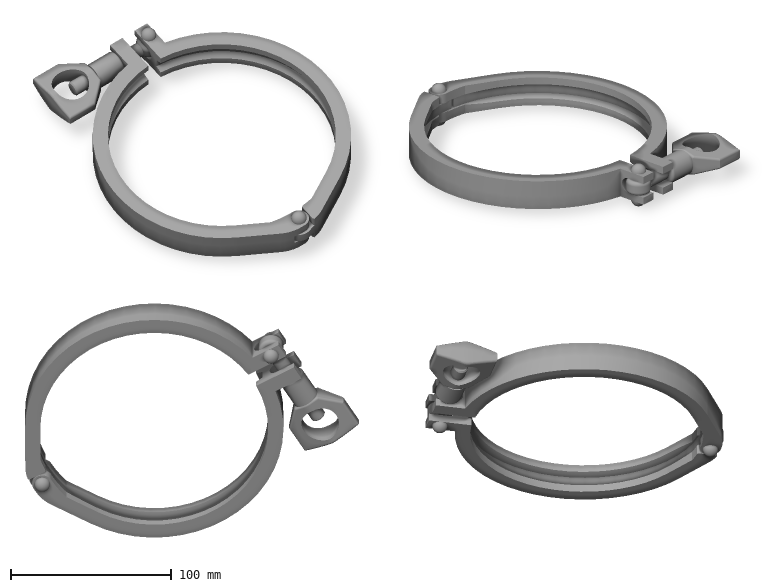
import cadquery as cq
import math


INNER_RADIUS = 70.75
OUTER_RADIUS = 80.27
CLAMP_HEIGHT = 19.05
PICK_MARGIN = 0.1
GROOVE_RADIUS = 75.2
GROOVE_FLOOR_WIDTH = 6.35
GROOVE_FLANK_ANGLE = 20.0
FLARE_ANGLE = 30.0

HINGE_X = 80.6
KNUCKLE_RADIUS = 6.35
TONGUE_RADIUS = 8.05
TONGUE_THICKNESS = GROOVE_FLOOR_WIDTH
TONGUE_ROOT_X = 6.15
TONGUE_CLEARANCE = 1.6
HINGE_BLEND_RADIUS = 25.4
TONGUE_SHOULDER_Y = 6.9
SHOULDER_CHAMFER = 0.75
LIP_RADIUS = HINGE_X - KNUCKLE_RADIUS

LEG_GAP = 9.525
LEG_THICKNESS = 9.525
BOLT_X = -89.7
BOLT_TO_LEG_END = 8.0
LEG_END_X = BOLT_X - BOLT_TO_LEG_END
BOLT_DIAMETER = 9.4
LEG_SLOT_WIDTH = BOLT_DIAMETER
LEG_SLOT_END_X = -80.3

RIVET_DIAMETER = 6.35
RIVET_HEAD_RADIUS = 4.76

BOLT_EYE_Y = (LEG_GAP + LEG_THICKNESS) / 2
BOLT_END_Y = -49.3
BOLT_END_CHAMFER = 0.8
EYE_RADIUS = 7.7
EYE_THICKNESS = 9.14
SHANK_START_Y = 2.3
EYE_FILLET = 2.4

NUT_TOP_Y = -LEG_GAP / 2 - LEG_THICKNESS
NUT_RADIUS = 16.51 / 2
NUT_TOP_FILLET = 1.5
WING_TOP_Y = -33.2
WING_SHOULDER_Y = -46.0
WING_CORNER_Y = -65.3
WING_BOTTOM_Y = -66.5
WING_HALF_WIDTH = 19.46
WING_SLOPE = 15.0
WING_EDGE_FILLET = 1.5
FINGER_HOLE_RADIUS = 23.24 / 2
FINGER_HOLE_Y = -50.8


def polar(radius, degrees):
    angle = math.radians(degrees)
    return radius * math.cos(angle), radius * math.sin(angle)


def z_cylinder(x, y, radius, height):
    """Cylinder along Z, centred on the mid-plane of the clamp."""
    return cq.Workplane("XY").center(x, y).circle(radius).extrude(height / 2, both=True)


def block(x_start, x_end, y_start, y_end, height):
    """Rectangular block centred on the mid-plane of the clamp."""
    outline = cq.Workplane("XY").center((x_start + x_end) / 2, (y_start + y_end) / 2)
    return outline.rect(abs(x_end - x_start), abs(y_end - y_start)).extrude(height / 2, both=True)


def flared_disc(radius):
    """Disc with two tangents at the flare angle that meet in a point on +X."""
    tip_x = radius / math.cos(math.radians(FLARE_ANGLE))
    x, y = polar(radius, FLARE_ANGLE)
    outline = cq.Workplane("XY").moveTo(tip_x, 0).lineTo(x, y)
    outline = outline.threePointArc((-radius, 0), (x, -y)).close()
    return outline.extrude(CLAMP_HEIGHT / 2, both=True)


def ring_outside():
    """Outer form, its hinge tip flattened at the knuckle and blended into the flares."""
    flat_x = HINGE_X + KNUCKLE_RADIUS
    disc = flared_disc(OUTER_RADIUS)
    disc = disc.intersect(block(-flat_x, flat_x, -flat_x, flat_x, CLAMP_HEIGHT))
    flare = math.radians(FLARE_ANGLE)
    corner_y = (OUTER_RADIUS - flat_x * math.cos(flare)) / math.sin(flare)
    for side in (1, -1):
        edge = cq.selectors.NearestToPointSelector((flat_x, side * corner_y, 0))
        disc = disc.edges("|Z").edges(edge).fillet(HINGE_BLEND_RADIUS)
    return disc


def ring_inside():
    """Bore and V groove; the flare of the bore stops at the lip radius."""
    bore = flared_disc(INNER_RADIUS).intersect(z_cylinder(0, 0, LIP_RADIUS, CLAMP_HEIGHT))
    floor = GROOVE_FLOOR_WIDTH / 2
    mouth = floor + GROOVE_RADIUS * math.tan(math.radians(GROOVE_FLANK_ANGLE))
    groove = (
        cq.Workplane("XZ")
        .polyline([(0, -mouth), (GROOVE_RADIUS, -floor), (GROOVE_RADIUS, floor), (0, mouth)])
        .close()
        .revolve(360, (0, 0, 0), (0, 1, 0))
    )
    groove = groove.intersect(z_cylinder(0, 0, GROOVE_RADIUS, CLAMP_HEIGHT))
    return bore.union(groove)


def leg_slot():
    """Slot open on -X with a half-round end, running through both legs along Y."""
    radius = LEG_SLOT_WIDTH / 2
    centre_x = LEG_SLOT_END_X - radius
    reach = LEG_GAP / 2 + LEG_THICKNESS
    slot = block(LEG_END_X, centre_x, -reach, reach, LEG_SLOT_WIDTH)
    end = cq.Workplane("XZ").center(centre_x, 0).circle(radius).extrude(reach, both=True)
    return slot.union(end)


def plain_half(side):
    """Half ring with its closing leg, on the +Y (side 1) or -Y (side -1) side."""
    leg_inner = side * LEG_GAP / 2
    leg_outer = side * (LEG_GAP / 2 + LEG_THICKNESS)
    ring_edge = side * OUTER_RADIUS
    closure_zone = block(-OUTER_RADIUS, 0, leg_inner, ring_edge, CLAMP_HEIGHT)
    hinge_zone = block(0, 2 * OUTER_RADIUS, 0, ring_edge, CLAMP_HEIGHT)
    leg = block(LEG_END_X, -INNER_RADIUS, leg_inner, leg_outer, CLAMP_HEIGHT)
    half = ring_outside().intersect(closure_zone.union(hinge_zone)).union(leg)
    return half.cut(ring_inside()).cut(leg_slot())


def rivet_hole(x, y):
    """Cutter the size of a rivet shank, through the whole clamp height."""
    return z_cylinder(x, y, RIVET_DIAMETER / 2, CLAMP_HEIGHT)


def make_tongue():
    """Round tongue end with a side running along a tangent from the outer wall."""
    root_x = TONGUE_ROOT_X
    root_y = TONGUE_SHOULDER_Y + SHOULDER_CHAMFER
    root_distance = math.hypot(root_x, root_y)
    tangent_angle = math.atan2(root_y, root_x) - math.acos(TONGUE_RADIUS / root_distance)
    tangent_x = HINGE_X + TONGUE_RADIUS * math.cos(tangent_angle)
    tangent_y = TONGUE_RADIUS * math.sin(tangent_angle)
    web = (
        cq.Workplane("XY")
        .polyline([
            (HINGE_X - TONGUE_RADIUS, 0),
            (HINGE_X, 0),
            (tangent_x, tangent_y),
            (HINGE_X + root_x, root_y),
            (HINGE_X - TONGUE_RADIUS, root_y),
        ])
        .close()
        .extrude(TONGUE_THICKNESS / 2, both=True)
    )
    tongue = z_cylinder(HINGE_X, 0, TONGUE_RADIUS, TONGUE_THICKNESS).union(web)
    return tongue.cut(z_cylinder(0, 0, GROOVE_RADIUS, TONGUE_THICKNESS))


def make_upper_half():
    half = plain_half(1)
    half = half.cut(block(0, 2 * HINGE_X, 0, TONGUE_SHOULDER_Y, CLAMP_HEIGHT))
    for x_min, x_max in ((0, LIP_RADIUS), (HINGE_X, 2 * HINGE_X)):
        lip_corners = cq.selectors.BoxSelector(
            (x_min, TONGUE_SHOULDER_Y - PICK_MARGIN, -CLAMP_HEIGHT),
            (x_max, TONGUE_SHOULDER_Y + PICK_MARGIN, CLAMP_HEIGHT),
        )
        half = half.edges("|Z").edges(lip_corners).chamfer(SHOULDER_CHAMFER)
    half = half.union(make_tongue())
    half = half.cut(rivet_hole(HINGE_X, 0))
    return half.cut(rivet_hole(BOLT_X, BOLT_EYE_Y))


def make_lower_half():
    knuckle = z_cylinder(HINGE_X, 0, KNUCKLE_RADIUS, CLAMP_HEIGHT)
    half = plain_half(-1).union(knuckle)
    slot = z_cylinder(HINGE_X, 0, TONGUE_RADIUS + TONGUE_CLEARANCE, TONGUE_THICKNESS)
    return half.cut(slot).cut(rivet_hole(HINGE_X, 0))


def make_rivet(x, y):
    shank = z_cylinder(x, y, RIVET_DIAMETER / 2, CLAMP_HEIGHT)
    upper_head = cq.Workplane("XY").sphere(RIVET_HEAD_RADIUS, angle1=0, angle2=90)
    upper_head = upper_head.translate((x, y, CLAMP_HEIGHT / 2))
    return shank.union(upper_head).union(upper_head.mirror("XY"))


def y_cylinder(radius, start_y, end_y):
    """Cylinder on the bolt axis, running from start_y towards -Y."""
    return cq.Workplane("XZ", origin=(BOLT_X, start_y, 0)).circle(radius).extrude(start_y - end_y)


def make_eye_bolt():
    eye = z_cylinder(BOLT_X, BOLT_EYE_Y, EYE_RADIUS, EYE_THICKNESS).edges().fillet(EYE_FILLET)
    shank = y_cylinder(BOLT_DIAMETER / 2, SHANK_START_Y, BOLT_END_Y).faces("<Y").chamfer(BOLT_END_CHAMFER)
    return eye.union(shank).cut(rivet_hole(BOLT_X, BOLT_EYE_Y))


def wing_section():
    """Section across the bolt: sloped faces tangent to the sleeve circle, blunt ends."""
    slope = math.radians(WING_SLOPE)
    end_z = (NUT_RADIUS - WING_HALF_WIDTH * math.sin(slope)) / math.cos(slope)
    tangent_x = NUT_RADIUS * math.sin(slope)
    tangent_z = NUT_RADIUS * math.cos(slope)
    outline = (
        cq.Workplane("XZ", origin=(BOLT_X, WING_TOP_Y, 0))
        .moveTo(WING_HALF_WIDTH, -end_z)
        .lineTo(WING_HALF_WIDTH, end_z)
        .lineTo(tangent_x, tangent_z)
        .threePointArc((0, NUT_RADIUS), (-tangent_x, tangent_z))
        .lineTo(-WING_HALF_WIDTH, end_z)
        .lineTo(-WING_HALF_WIDTH, -end_z)
        .lineTo(-tangent_x, -tangent_z)
        .threePointArc((0, -NUT_RADIUS), (tangent_x, -tangent_z))
        .close()
    )
    return outline.extrude(WING_TOP_Y - WING_BOTTOM_Y)


def wing_plan():
    """Plan outline: shoulders spreading from the sleeve, straight sides, slightly bowed end."""
    outline = (
        cq.Workplane("XY", origin=(BOLT_X, 0, 0))
        .moveTo(-NUT_RADIUS, WING_TOP_Y)
        .lineTo(-WING_HALF_WIDTH, WING_SHOULDER_Y)
        .lineTo(-WING_HALF_WIDTH, WING_CORNER_Y)
        .threePointArc((0, WING_BOTTOM_Y), (WING_HALF_WIDTH, WING_CORNER_Y))
        .lineTo(WING_HALF_WIDTH, WING_SHOULDER_Y)
        .lineTo(NUT_RADIUS, WING_TOP_Y)
        .close()
    )
    return outline.extrude(CLAMP_HEIGHT / 2, both=True)


def make_wing_nut():
    wing = wing_section().intersect(wing_plan())
    rim = wing.faces("#Z or <Y").edges("not |Z")
    wing = rim.fillet(WING_EDGE_FILLET)
    sleeve = y_cylinder(NUT_RADIUS, NUT_TOP_Y, WING_TOP_Y).faces(">Y").edges().fillet(NUT_TOP_FILLET)
    nut = sleeve.union(wing)
    nut = nut.cut(z_cylinder(BOLT_X, FINGER_HOLE_Y, FINGER_HOLE_RADIUS, CLAMP_HEIGHT))
    return nut.cut(y_cylinder(BOLT_DIAMETER / 2, NUT_TOP_Y, FINGER_HOLE_Y))


upper_half = make_upper_half()
lower_half = make_lower_half()
rivets = [make_rivet(x, y) for x, y in ((HINGE_X, 0), (BOLT_X, BOLT_EYE_Y))]
eye_bolt = make_eye_bolt()
wing_nut = make_wing_nut()

bodies = [upper_half, lower_half, *rivets, eye_bolt, wing_nut]
result = cq.Compound.makeCompound([body.solids().val() for body in bodies])